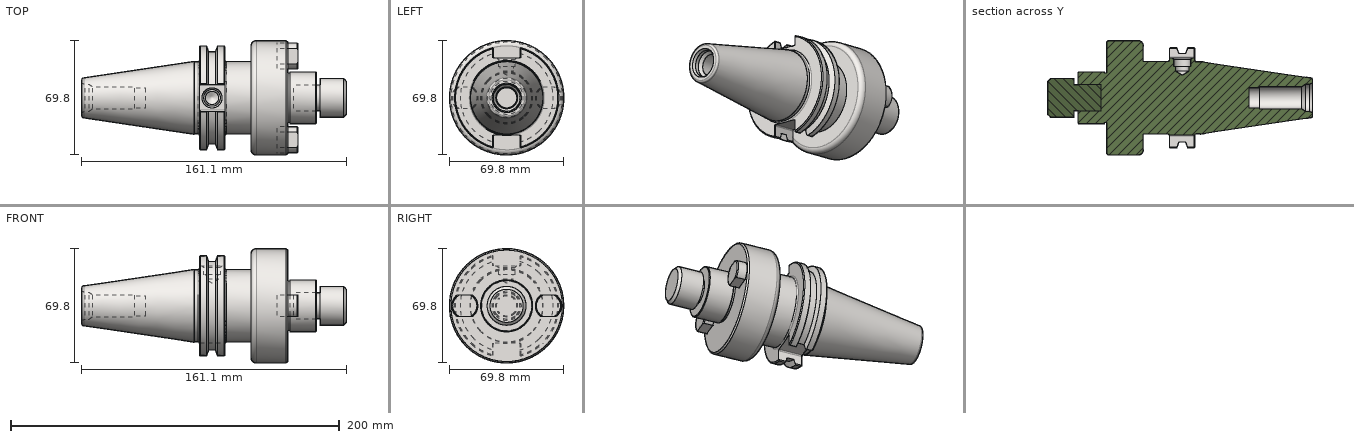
import cadquery as cq
import math


small_end_diameter = 24.5
small_end_round = 1.3
gauge_diameter = 44.5
gauge_x = 68.3
neck_step_length = 0.3
neck_diameter = 44.0

flange_diameter = 63.5
flange_chamfer = 0.6
flange_fillet = 0.8
flange_start = 71.5
flange_end = 87.2
groove_center = 79.3
groove_diameter = 56.4
groove_floor_width = 4.0
groove_mouth_width = 6.8

slot_width = 16.3
slot_floor_fillet = 0.6
slot_edge_chamfer = 0.56
top_slot_floor = 24.3
bottom_slot_floor = 22.7

hole_mouth_diameter = 12.2
hole_thread_diameter = 10.2
hole_thread_depth = 5.2
hole_drill_diameter = 8.0
hole_drill_depth = 8.0
drill_point_angle = 118

body_diameter = 44.3
collar_diameter = 69.8
collar_start = 103.0
collar_end = 125.4
collar_round = 3.2
collar_chamfer = 1.0

pilot_diameter = 31.7
pilot_end = 142.8
pilot_chamfer = 0.5
pilot_relief_diameter = 30.3
pilot_relief_width = 1.3

bore_mouth_diameter = 17.9
bore_mouth_depth = 2.0
bore_entry_diameter = 16.5
bore_entry_depth = 4.4
bore_cone_depth = 6.6
bore_diameter = 13.4
bore_depth = 32.2
bore_end_diameter = 12.2
bore_end_depth = 38.7

screw_head_diameter = 23.7
screw_head_start = 145.0
screw_end = 161.1
screw_head_chamfer = 1.8
screw_shank_diameter = 16.0
screw_shank_start = 128.9

dog_diameter = 16.0
dog_flat_width = 12.9
dog_offset = 25.5
dog_end = 131.7
dog_chamfer = 0.6
dog_seat_depth = 6.5


def revolve_about_x(profile):
    return profile.close().revolve(360, (0, 0, 0), (1, 0, 0))


def cylinder_x(diameter, start, end):
    return cq.Workplane("YZ").workplane(offset=start).circle(diameter / 2).extrude(end - start)


def make_turned_blank():
    small_end_radius = small_end_diameter / 2
    neck_radius = neck_diameter / 2
    flange_radius = flange_diameter / 2
    groove_radius = groove_diameter / 2
    body_radius = body_diameter / 2
    collar_radius = collar_diameter / 2
    pilot_radius = pilot_diameter / 2
    relief_radius = pilot_relief_diameter / 2
    relief_end = collar_end + pilot_relief_width
    floor_half = groove_floor_width / 2
    mouth_half = groove_mouth_width / 2
    profile = (
        cq.Workplane("XY")
        .lineTo(0, small_end_radius - small_end_round)
        .radiusArc((small_end_round, small_end_radius), small_end_round)
        .lineTo(gauge_x, gauge_diameter / 2)
        .lineTo(gauge_x + neck_step_length, neck_radius)
        .lineTo(flange_start - flange_fillet, neck_radius)
        .radiusArc((flange_start, neck_radius + flange_fillet), -flange_fillet)
        .lineTo(flange_start, flange_radius - flange_chamfer)
        .lineTo(flange_start + flange_chamfer, flange_radius)
        .lineTo(groove_center - mouth_half, flange_radius)
        .lineTo(groove_center - floor_half, groove_radius)
        .lineTo(groove_center + floor_half, groove_radius)
        .lineTo(groove_center + mouth_half, flange_radius)
        .lineTo(flange_end - flange_chamfer, flange_radius)
        .lineTo(flange_end, flange_radius - flange_chamfer)
        .lineTo(flange_end, body_radius + flange_fillet)
        .radiusArc((flange_end + flange_fillet, body_radius), -flange_fillet)
        .lineTo(collar_start, body_radius)
        .lineTo(collar_start, collar_radius - collar_round)
        .radiusArc((collar_start + collar_round, collar_radius), collar_round)
        .lineTo(collar_end - collar_chamfer, collar_radius)
        .lineTo(collar_end, collar_radius - collar_chamfer)
        .lineTo(collar_end, relief_radius)
        .lineTo(relief_end, relief_radius)
        .lineTo(relief_end, pilot_radius)
        .lineTo(pilot_end - pilot_chamfer, pilot_radius)
        .lineTo(pilot_end, pilot_radius - pilot_chamfer)
        .lineTo(pilot_end, 0)
    )
    return revolve_about_x(profile)


def make_bore():
    profile = (
        cq.Workplane("XY")
        .lineTo(0, bore_mouth_diameter / 2)
        .lineTo(bore_mouth_depth, bore_entry_diameter / 2)
        .lineTo(bore_entry_depth, bore_entry_diameter / 2)
        .lineTo(bore_cone_depth, bore_diameter / 2)
        .lineTo(bore_depth, bore_diameter / 2)
        .lineTo(bore_depth, bore_end_diameter / 2)
        .lineTo(bore_end_depth, bore_end_diameter / 2)
        .lineTo(bore_end_depth, 0)
    )
    return revolve_about_x(profile)


def make_slot(floor):
    """Slot on the +Z side: its walls flare at the flange rim and at the -X face."""
    flange_radius = flange_diameter / 2
    half_width = slot_width / 2
    flared_half_width = half_width + slot_edge_chamfer
    flare_top = math.sqrt(flange_radius**2 - flared_half_width**2)
    flare_bottom = flare_top - slot_edge_chamfer
    slot_top = flange_radius + slot_edge_chamfer
    top_half_width = half_width + slot_top - flare_bottom
    channel = (
        cq.Workplane("YZ")
        .workplane(offset=flange_start)
        .moveTo(-half_width, floor)
        .lineTo(half_width, floor)
        .lineTo(half_width, flare_bottom)
        .lineTo(top_half_width, slot_top)
        .lineTo(-top_half_width, slot_top)
        .lineTo(-half_width, flare_bottom)
        .close()
        .extrude(flange_end - flange_start)
    )
    mouth_end = flange_start + slot_edge_chamfer
    mouth = (
        cq.Workplane("XY")
        .workplane(offset=floor)
        .moveTo(flange_start, -flared_half_width)
        .lineTo(flange_start, flared_half_width)
        .lineTo(mouth_end, half_width)
        .lineTo(mouth_end, -half_width)
        .close()
        .extrude(slot_top - floor)
    )
    slot = channel.union(mouth, clean=True)
    return slot.faces("<Z").edges("not |Y").fillet(slot_floor_fillet)


def make_slot_hole():
    mouth_radius = hole_mouth_diameter / 2
    thread_radius = hole_thread_diameter / 2
    drill_radius = hole_drill_diameter / 2
    mouth_depth = mouth_radius - thread_radius
    point_length = drill_radius / math.tan(math.radians(drill_point_angle / 2))
    hole = (
        cq.Workplane("XZ")
        .lineTo(mouth_radius, 0)
        .lineTo(thread_radius, -mouth_depth)
        .lineTo(thread_radius, -hole_thread_depth)
        .lineTo(drill_radius, -hole_thread_depth)
        .lineTo(drill_radius, -hole_drill_depth)
        .lineTo(0, -hole_drill_depth - point_length)
        .close()
        .revolve(360, (0, 0, 0), (0, 1, 0))
    )
    return hole.translate((groove_center, 0, top_slot_floor))


def make_dog(side):
    """Round dog with two flats, seated in the collar face on the given Y side."""
    seat_start = collar_end - dog_seat_depth
    dog = cylinder_x(dog_diameter, seat_start, dog_end).faces(">X").chamfer(dog_chamfer)
    between_flats = (
        cq.Workplane("XY")
        .box(dog_end - seat_start, dog_diameter, dog_flat_width, centered=(False, True, True))
        .translate((seat_start, 0, 0))
    )
    return dog.intersect(between_flats).translate((0, side * dog_offset, 0))


def make_screw():
    head = cylinder_x(screw_head_diameter, screw_head_start, screw_end)
    head = head.faces(">X").chamfer(screw_head_chamfer)
    shank = cylinder_x(screw_shank_diameter, screw_shank_start, screw_head_start)
    return head.union(shank)


def make_arbor(fitted_bodies):
    """Arbor with a matching recess for every body fitted into it."""
    bottom_slot = make_slot(bottom_slot_floor).rotate((0, 0, 0), (1, 0, 0), 180)
    arbor = make_turned_blank().cut(make_bore())
    arbor = arbor.cut(make_slot(top_slot_floor)).cut(bottom_slot)
    arbor = arbor.cut(make_slot_hole())
    for body in fitted_bodies:
        arbor = arbor.cut(body)
    return arbor


screw = make_screw()
dogs = [make_dog(side) for side in (1, -1)]
arbor = make_arbor([screw, *dogs])

result = cq.Compound.makeCompound([arbor.val(), screw.val(), *[dog.val() for dog in dogs]])